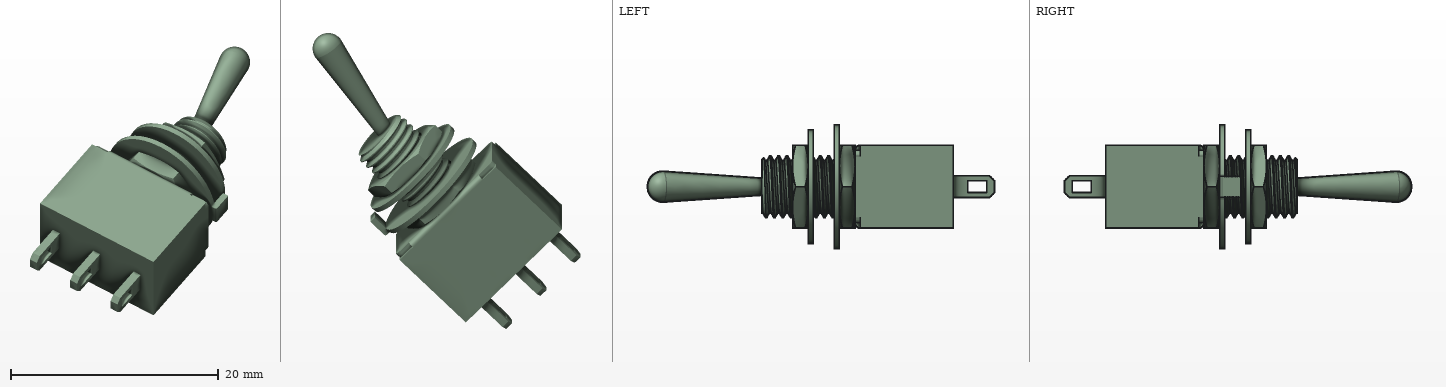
import cadquery as cq
import math


BODY_WIDTH = 13.2
BODY_HEIGHT = 8.0
BODY_LENGTH = 9.0
COVER_THICKNESS = 0.5
COVER_ROUND = COVER_THICKNESS
COVER_END_LENGTH = 1.8
COVER_END_STEP = 0.5
BODY_BACK_Y = -COVER_THICKNESS - BODY_LENGTH

TERMINAL_COUNT = 3
TERMINAL_SPACING = 4.7
TERMINAL_THICKNESS = 0.8
TERMINAL_HEIGHT = 2.1
TERMINAL_CHAMFER = 0.5
EYE_LENGTH = 1.8
EYE_HEIGHT = 1.1
EYE_SETBACK = 1.4

BUSHING_LENGTH = 9.0
THREAD_RADIUS = 3.0
THREAD_PITCH = 0.8
THREAD_DEPTH = 0.45
THREAD_CREST = 0.1
THREAD_FLANK_ANGLE = 30
THREAD_START = -1.27
THREAD_ROOT_OVERLAP = 0.07
BUSHING_CHAMFER = 0.37

LEVER_TILT = 12
LEVER_PIVOT_DEPTH = 3.95
LEVER_REACH = 9.55
LEVER_BALL_RADIUS = 1.5
LEVER_NECK_RADIUS = 0.85

BORE_RADIUS = THREAD_RADIUS + 0.05
NUT_FLATS = 8.0
NUT_THICKNESS = 1.5
NUT_CHAMFER_ANGLE = 25
NUT_RIM_CLEARANCE = 0.17
WASHER_RADIUS = 5.5
WASHER_THICKNESS = 0.5
LOCATING_RADIUS = 6.0
WASHER_GAP = 2.0

TAB_OUTER_X = 6.5
TAB_THICKNESS = 0.6
TAB_WIDTH = 2.0
TAB_HEIGHT = 2.05
TAB_FILLET = 0.2

OVERALL_LENGTH = 33.53

BALL_CENTRE_Y = BUSHING_LENGTH + LEVER_REACH
TERMINAL_LENGTH = OVERALL_LENGTH - (BALL_CENTRE_Y + LEVER_BALL_RADIUS - BODY_BACK_Y)

REAR_NUT_Y = 0.0
LOCATING_WASHER_Y = REAR_NUT_Y + NUT_THICKNESS
WASHER_Y = LOCATING_WASHER_Y + WASHER_THICKNESS + WASHER_GAP
FRONT_NUT_Y = WASHER_Y + WASHER_THICKNESS


def sketch_at(y):
    """Workplane square to the bushing axis: X to the right, extruding toward +Y."""
    return cq.Workplane(cq.Plane(origin=(0, y, 0), xDir=(1, 0, 0), normal=(0, 1, 0)))


def make_body():
    box = sketch_at(BODY_BACK_Y).rect(BODY_WIDTH, BODY_HEIGHT).extrude(BODY_LENGTH)
    ends = (
        sketch_at(-COVER_THICKNESS)
        .rect(BODY_WIDTH, BODY_HEIGHT - 2 * COVER_END_STEP)
        .extrude(COVER_THICKNESS)
        .edges("|Y")
        .fillet(COVER_ROUND)
    )
    middle = (
        sketch_at(BODY_BACK_Y)
        .rect(BODY_WIDTH - 2 * COVER_END_LENGTH, BODY_HEIGHT)
        .extrude(BODY_LENGTH + COVER_THICKNESS)
        .faces(">Y")
        .edges("|X")
        .fillet(COVER_ROUND)
    )
    return box.union(ends).union(middle)


def make_terminal(x):
    tip_y = BODY_BACK_Y - TERMINAL_LENGTH
    eye_y = BODY_BACK_Y - EYE_SETBACK - EYE_LENGTH / 2
    blade = (
        sketch_at(tip_y)
        .center(x, 0)
        .rect(TERMINAL_THICKNESS, TERMINAL_HEIGHT)
        .extrude(TERMINAL_LENGTH)
        .faces("<Y")
        .edges("|X")
        .chamfer(TERMINAL_CHAMFER)
    )
    eye = cq.Workplane("XY").box(TERMINAL_THICKNESS, EYE_LENGTH, EYE_HEIGHT).translate((x, eye_y, 0))
    return blade.cut(eye)


def make_bushing():
    """Core with one continuous right-hand thread, built along Z and then laid along Y."""
    root_radius = THREAD_RADIUS - THREAD_DEPTH
    inner_radius = root_radius - THREAD_ROOT_OVERLAP
    crest_half = THREAD_CREST / 2
    flank_run = (THREAD_RADIUS - inner_radius) * math.tan(math.radians(THREAD_FLANK_ANGLE))
    base_half = crest_half + flank_run
    ridge_length = BUSHING_LENGTH - THREAD_START + THREAD_PITCH

    path = cq.Wire.makeHelix(THREAD_PITCH, ridge_length, inner_radius)
    ridge = (
        cq.Workplane("XZ")
        .moveTo(inner_radius, -base_half)
        .lineTo(THREAD_RADIUS, -crest_half)
        .lineTo(THREAD_RADIUS, crest_half)
        .lineTo(inner_radius, base_half)
        .close()
        .sweep(cq.Workplane(path), isFrenet=True)
        .translate((0, 0, THREAD_START))
    )
    core = cq.Workplane("XY").circle(root_radius).extrude(BUSHING_LENGTH)
    envelope = (
        cq.Workplane("XY")
        .circle(THREAD_RADIUS + THREAD_DEPTH)
        .extrude(BUSHING_LENGTH)
        .faces(">Z")
        .chamfer(BUSHING_CHAMFER + THREAD_DEPTH)
    )
    bushing = core.union(ridge.intersect(envelope)).intersect(envelope)
    return bushing.rotate((0, 0, 0), (1, 0, 0), -90)


def make_lever():
    """Profile revolved upright about the pivot, tilted, and moved onto the bushing axis."""
    tilt = math.radians(LEVER_TILT)
    pivot_y = BUSHING_LENGTH - LEVER_PIVOT_DEPTH
    ball_centre = (BALL_CENTRE_Y - pivot_y) / math.cos(tilt)
    neck = LEVER_PIVOT_DEPTH / math.cos(tilt)
    taper = (LEVER_BALL_RADIUS - LEVER_NECK_RADIUS) / (ball_centre - neck)
    pivot_radius = LEVER_NECK_RADIUS - taper * neck
    ball_mid = LEVER_BALL_RADIUS * math.sqrt(0.5)
    lever = (
        cq.Workplane("XY")
        .lineTo(pivot_radius, 0)
        .lineTo(LEVER_BALL_RADIUS, ball_centre)
        .threePointArc((ball_mid, ball_centre + ball_mid), (0, ball_centre + LEVER_BALL_RADIUS))
        .close()
        .revolve(360, (0, 0, 0), (0, 1, 0))
    )
    return lever.rotate((0, 0, 0), (0, 0, 1), LEVER_TILT).translate((0, pivot_y, 0))


def make_switch():
    switch = make_body().union(make_bushing()).union(make_lever())
    for i in range(TERMINAL_COUNT):
        x = (i - (TERMINAL_COUNT - 1) / 2) * TERMINAL_SPACING
        switch = switch.union(make_terminal(x))
    return switch


def make_nut(y):
    """Hexagon nut with corners on X, both faces chamfered down to the flats' inscribed circle."""
    inner = NUT_FLATS / 2
    corner = inner / math.cos(math.pi / 6)
    rim = corner + NUT_RIM_CLEARANCE
    drop = (rim - inner) * math.tan(math.radians(NUT_CHAMFER_ANGLE))
    hexagon = sketch_at(y).polygon(6, 2 * corner).circle(BORE_RADIUS).extrude(NUT_THICKNESS)
    turned = (
        cq.Workplane("XY")
        .moveTo(0, y)
        .lineTo(inner, y)
        .lineTo(rim, y + drop)
        .lineTo(rim, y + NUT_THICKNESS - drop)
        .lineTo(inner, y + NUT_THICKNESS)
        .lineTo(0, y + NUT_THICKNESS)
        .close()
        .revolve(360, (0, 0, 0), (0, 1, 0))
    )
    return hexagon.intersect(turned)


def make_washer():
    return sketch_at(WASHER_Y).circle(WASHER_RADIUS).circle(BORE_RADIUS).extrude(WASHER_THICKNESS)


def make_locating_washer():
    """Flat ring with a tab that runs out past the rim and bends toward +Y."""
    disc = sketch_at(LOCATING_WASHER_Y).circle(LOCATING_RADIUS).extrude(WASHER_THICKNESS)
    neck_length = TAB_OUTER_X - BORE_RADIUS
    neck = (
        sketch_at(LOCATING_WASHER_Y)
        .center(TAB_OUTER_X - neck_length / 2, 0)
        .rect(neck_length, TAB_WIDTH)
        .extrude(WASHER_THICKNESS)
    )
    rim_x = math.sqrt(LOCATING_RADIUS**2 - (TAB_WIDTH / 2) ** 2)
    rim_corners = cq.selectors.BoxSelector(
        (rim_x - TAB_FILLET, LOCATING_WASHER_Y, -TAB_WIDTH),
        (rim_x + TAB_FILLET, LOCATING_WASHER_Y + WASHER_THICKNESS, TAB_WIDTH),
    )
    flat = disc.union(neck).edges("|Y").edges(rim_corners).fillet(TAB_FILLET)
    tab = (
        sketch_at(LOCATING_WASHER_Y)
        .center(TAB_OUTER_X - TAB_THICKNESS / 2, 0)
        .rect(TAB_THICKNESS, TAB_WIDTH)
        .extrude(TAB_HEIGHT)
    )
    bore = sketch_at(LOCATING_WASHER_Y).circle(BORE_RADIUS).extrude(WASHER_THICKNESS)
    bent = flat.union(tab).cut(bore)
    return bent.faces(">X").edges("<Y").fillet(TAB_FILLET)


switch = make_switch()
nuts = [make_nut(y) for y in (REAR_NUT_Y, FRONT_NUT_Y)]
washer = make_washer()
locating_washer = make_locating_washer()

result = cq.Compound.makeCompound(
    [switch.val(), *[nut.val() for nut in nuts], washer.val(), locating_washer.val()]
)